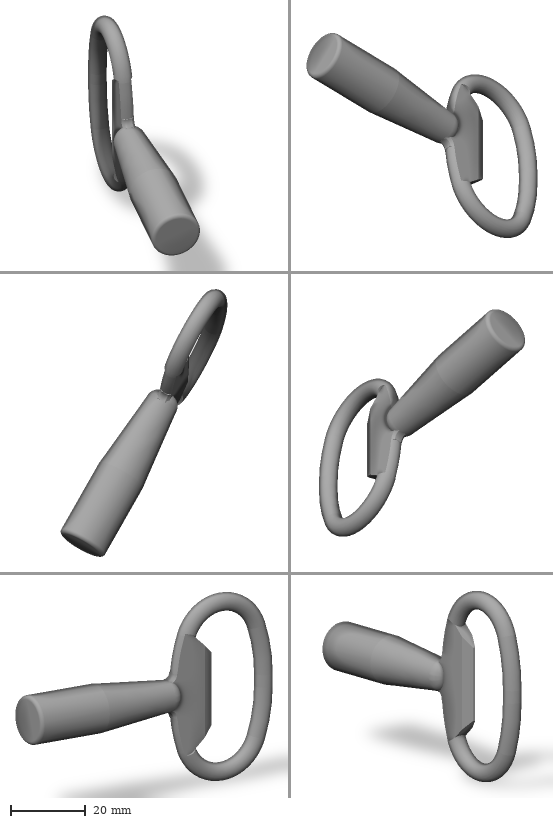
import cadquery as cq
import math

TOTAL_LENGTH = 78.0
RING_HEIGHT = 52.0
TUBE_DIAMETER = 5.0
TUBE_RADIUS = TUBE_DIAMETER / 2

RING_CENTER_X = 16.1
RIGHT_X = 2 * RING_CENTER_X
SIDE_HALF_LENGTH = 1.7
END_ARC_RADIUS = 14.35

BLADE_THICKNESS = 3.5
BLADE_EDGE_X = 19.35
BLADE_EDGE_HALF_HEIGHT = 10.1
BLADE_EDGE_THICKNESS = 0.8
BEVEL_END_X = 22.4
SHOULDER_X = 25.4
SHOULDER_Z = 15.45
BLADE_TIP_X = 28.8
BLADE_TIP_Z = 16.85
SHOULDER_ARC_X = 26.75
SHOULDER_ARC_Z = 16.45

HANDLE_DIAMETER = 13.5
NOSE_X = 30.35
CONE_START_X = 33.7
CONE_START_RADIUS = 4.45
CONE_END_X = 56.15
END_FILLET = 1.0

NECK_FILLET = 1.7
NECK_BEVEL = 0.7


def ring_outline(inset):
    """Closed ring outline in the XZ plane, moved inwards by inset."""
    end_radius = END_ARC_RADIUS - inset
    end_z = RING_HEIGHT / 2 - END_ARC_RADIUS
    rise = end_z - SIDE_HALF_LENGTH
    excess = RING_CENTER_X - END_ARC_RADIUS
    side_radius = (RING_CENTER_X**2 + rise**2 - END_ARC_RADIUS**2) / (2 * excess)
    angle = math.asin(rise / (side_radius - END_ARC_RADIUS))
    half_width = RING_CENTER_X - inset
    arc_radius = side_radius - inset

    def side_point(turn):
        drop = arc_radius * (1 - math.cos(turn))
        return half_width - drop, SIDE_HALF_LENGTH + arc_radius * math.sin(turn)

    mid_x, mid_z = side_point(angle / 2)
    join_x, join_z = side_point(angle)
    top_z = end_z + end_radius
    cx = RING_CENTER_X
    return (
        cq.Workplane("XZ")
        .moveTo(cx + half_width, -SIDE_HALF_LENGTH)
        .lineTo(cx + half_width, SIDE_HALF_LENGTH)
        .threePointArc((cx + mid_x, mid_z), (cx + join_x, join_z))
        .threePointArc((cx, top_z), (cx - join_x, join_z))
        .threePointArc((cx - mid_x, mid_z), (cx - half_width, SIDE_HALF_LENGTH))
        .lineTo(cx - half_width, -SIDE_HALF_LENGTH)
        .threePointArc((cx - mid_x, -mid_z), (cx - join_x, -join_z))
        .threePointArc((cx, -top_z), (cx + join_x, -join_z))
        .threePointArc((cx + mid_x, -mid_z), (cx + half_width, -SIDE_HALF_LENGTH))
        .close()
    )


def make_ring():
    """Round bar swept along the ring centreline."""
    path = ring_outline(TUBE_RADIUS)
    start = (RIGHT_X - TUBE_RADIUS, 0, -SIDE_HALF_LENGTH)
    return cq.Workplane("XY", origin=start).circle(TUBE_RADIUS).sweep(path)


def blade_area(depth):
    """Block of the blade's outline, running out past the outside of the ring."""
    return (
        cq.Workplane("XZ")
        .moveTo(BLADE_EDGE_X, -BLADE_EDGE_HALF_HEIGHT)
        .lineTo(BLADE_EDGE_X, BLADE_EDGE_HALF_HEIGHT)
        .lineTo(SHOULDER_X, SHOULDER_Z)
        .threePointArc((SHOULDER_ARC_X, SHOULDER_ARC_Z), (BLADE_TIP_X, BLADE_TIP_Z))
        .lineTo(RIGHT_X, BLADE_TIP_Z)
        .lineTo(RIGHT_X, -BLADE_TIP_Z)
        .lineTo(BLADE_TIP_X, -BLADE_TIP_Z)
        .threePointArc((SHOULDER_ARC_X, -SHOULDER_ARC_Z), (SHOULDER_X, -SHOULDER_Z))
        .close()
        .extrude(depth / 2, both=True)
    )


def make_blade():
    """Blade with its free edge bevelled from both faces, ending inside the ring bar."""
    half = BLADE_THICKNESS / 2
    edge = BLADE_EDGE_THICKNESS / 2
    bevel = (
        cq.Workplane("XY")
        .polyline([
            (BLADE_EDGE_X, -edge),
            (BEVEL_END_X, -half),
            (RIGHT_X, -half),
            (RIGHT_X, half),
            (BEVEL_END_X, half),
            (BLADE_EDGE_X, edge),
        ])
        .close()
        .extrude(RING_HEIGHT / 2, both=True)
    )
    inside = ring_outline(TUBE_RADIUS).extrude(TUBE_RADIUS, both=True)
    return blade_area(BLADE_THICKNESS).intersect(bevel).intersect(inside)


def make_handle():
    """Turned handle with a rounded nose and a rounded far end."""
    grip_radius = HANDLE_DIAMETER / 2
    nose_radius = CONE_START_X - NOSE_X
    nose_flat = CONE_START_RADIUS - nose_radius
    diagonal = nose_radius * math.sqrt(0.5)
    return (
        cq.Workplane("XY")
        .moveTo(NOSE_X, 0)
        .lineTo(NOSE_X, nose_flat)
        .threePointArc(
            (CONE_START_X - diagonal, nose_flat + diagonal),
            (CONE_START_X, CONE_START_RADIUS),
        )
        .lineTo(CONE_END_X, grip_radius)
        .lineTo(TOTAL_LENGTH, grip_radius)
        .lineTo(TOTAL_LENGTH, 0)
        .close()
        .revolve(360, (0, 0), (1, 0))
        .faces(">X")
        .edges()
        .fillet(END_FILLET)
    )


def make_neck():
    """Web between ring and nose, with bevelled concave rounds above and below."""
    left = RIGHT_X - TUBE_RADIUS
    outer_x = CONE_START_X - NECK_FILLET
    outer_z = CONE_START_RADIUS + NECK_FILLET
    diagonal = NECK_FILLET * math.sqrt(0.5)
    arc_mid = (CONE_START_X - diagonal, outer_z - diagonal)
    return (
        cq.Workplane("XZ")
        .moveTo(left, -outer_z)
        .lineTo(outer_x, -outer_z)
        .threePointArc((arc_mid[0], -arc_mid[1]), (CONE_START_X, -CONE_START_RADIUS))
        .lineTo(CONE_START_X, CONE_START_RADIUS)
        .threePointArc(arc_mid, (outer_x, outer_z))
        .lineTo(left, outer_z)
        .close()
        .extrude(BLADE_THICKNESS / 2, both=True)
        .edges("%CIRCLE")
        .chamfer(NECK_BEVEL)
    )


flattening = blade_area(2 * TUBE_DIAMETER).cut(blade_area(BLADE_THICKNESS))
ring = make_ring().cut(flattening)
result = ring.union(make_blade()).union(make_neck()).union(make_handle())